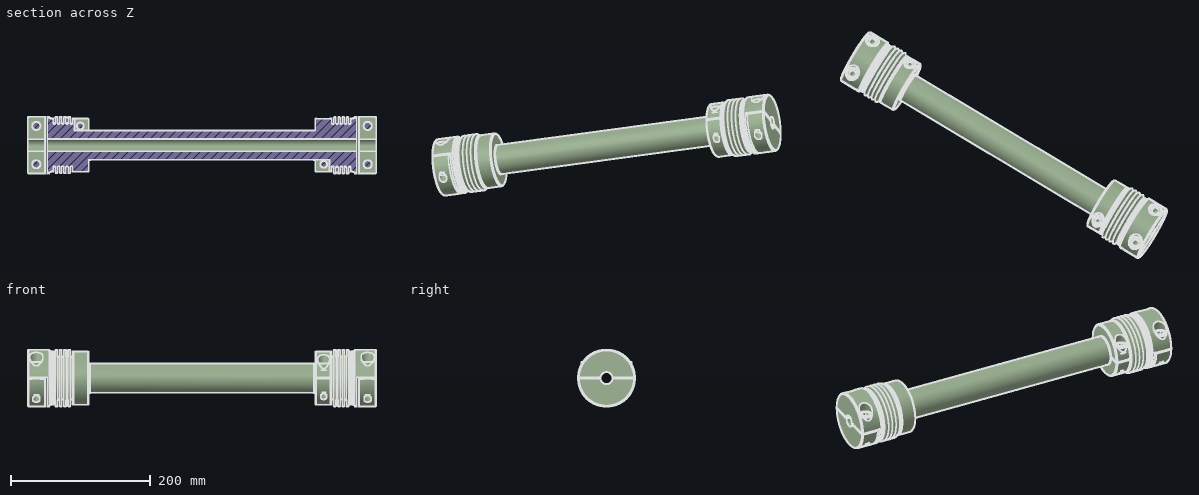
import cadquery as cq
import math


total_length = 500.0
end_x = -total_length / 2
bore_dia = 17.0

outer_hub_dia = 82.0
outer_hub_length = 31.0
outer_hub_chamfer = 1.5
shoulder_dia = 78.0
shoulder_length = 2.5

collar_dia = 77.0
collar_length = 3.75
collar_groove_width = 1.5
collar_groove_depth = 0.5
crest_dia = 82.0
valley_dia = 61.0
crest_count = 4
crest_width = 3.5
valley_width = 2.5

inner_hub_dia = 77.0
inner_hub_chamfer = 1.5
inner_hub_end = 88.0

tube_dia = 42.5
ring_dia = 43.0
ring_length = 1.5

slit_width = 2.0
relief_start = 25.0
relief_width = 3.0

screw_offset = 27.5
head_chamfer = 1.0
socket_depth = 6.0
socket_point_angle = 120.0
outer_screw = dict(
    station=12.5, top=23.5, tip=-23.5, head_dia=18.0, head_height=12.0, recess_dia=19.0,
    shank_dia=12.0, thread_hole_dia=10.5, socket_width=10.0,
)
inner_screw = dict(
    station=75.5, top=21.5, tip=-20.0, head_dia=16.0, head_height=10.0, recess_dia=17.0,
    shank_dia=10.0, thread_hole_dia=8.5, socket_width=8.0,
)

shoulder_end = outer_hub_length + shoulder_length
bellows_start = shoulder_end + collar_length
bellows_length = crest_count * (crest_width + valley_width) + valley_width
bellows_end = bellows_start + bellows_length
inner_hub_start = bellows_end + collar_length


def turned(start, length, diameter):
    """Solid cylinder along X beginning at a station of the left coupling."""
    return cq.Workplane("YZ", origin=(end_x + start, 0, 0)).circle(diameter / 2).extrude(length)


def upright(x, y, z, diameter, height):
    """Solid cylinder along +Z standing at a point."""
    return cq.Workplane("XY", origin=(x, y, z)).circle(diameter / 2).extrude(height)


def bellows():
    """Corrugated sleeve with rounded crests and valleys joined by flat flanks."""
    crest_round = crest_width / 2
    valley_round = valley_width / 2
    crest_flank = crest_dia / 2 - crest_round
    valley_flank = valley_dia / 2 + valley_round
    x = end_x + bellows_start
    profile = cq.Workplane("XY").moveTo(x, 0).lineTo(x, valley_flank)
    for _ in range(crest_count):
        profile = profile.threePointArc((x + valley_round, valley_dia / 2), (x + valley_width, valley_flank))
        x += valley_width
        profile = profile.lineTo(x, crest_flank)
        profile = profile.threePointArc((x + crest_round, crest_dia / 2), (x + crest_width, crest_flank))
        x += crest_width
        profile = profile.lineTo(x, valley_flank)
    profile = profile.threePointArc((x + valley_round, valley_dia / 2), (x + valley_width, valley_flank))
    profile = profile.lineTo(x + valley_width, 0).close()
    return profile.revolve(360, (0, 0, 0), (1, 0, 0))


def coupling_body():
    """Both hubs, the collars and the bellows of the left coupling, before clamping details."""
    outer_hub = turned(0, outer_hub_length, outer_hub_dia).faces("<X").chamfer(outer_hub_chamfer)
    inner_hub = turned(inner_hub_start, inner_hub_end - inner_hub_start, inner_hub_dia)
    inner_hub = inner_hub.faces(">X").chamfer(inner_hub_chamfer)
    body = outer_hub.union(turned(outer_hub_length, shoulder_length, shoulder_dia))
    body = body.union(turned(shoulder_end, collar_length, collar_dia)).union(bellows())
    body = body.union(turned(bellows_end, collar_length, collar_dia)).union(inner_hub)

    groove_floor_dia = collar_dia - 2 * collar_groove_depth
    groove_inset = (collar_length - collar_groove_width) / 2
    for start in (shoulder_end + groove_inset, bellows_end + groove_inset):
        groove = turned(start, collar_groove_width, outer_hub_dia)
        body = body.cut(groove.cut(turned(start, collar_groove_width, groove_floor_dia)))
    return body.union(turned(inner_hub_end, ring_length, ring_dia))


def cut_slits(body):
    """Outer hub: full-width slit and relief freeing its lower half. Inner hub: slit on the +Y side."""
    slit_length = relief_start + relief_width
    outer_slit = cq.Workplane("XY").box(slit_length, outer_hub_dia, slit_width, centered=(False, True, True))
    relief = cq.Workplane("XY").box(
        relief_width, outer_hub_dia, outer_hub_dia / 2 + slit_width / 2, centered=(False, True, False)
    )
    inner_slit = cq.Workplane("XY").box(
        inner_hub_end - inner_hub_start, inner_hub_dia / 2, slit_width, centered=(False, False, True)
    )
    body = body.cut(outer_slit.translate((end_x, 0, 0)))
    body = body.cut(relief.translate((end_x + relief_start, 0, -outer_hub_dia / 2)))
    return body.cut(inner_slit.translate((end_x + inner_hub_start, tube_dia / 2, 0)))


def screw_head(x, y, screw):
    """Chamfered cap head with a hexagon socket ending in a drill point."""
    head = upright(x, y, screw["top"] - screw["head_height"], screw["head_dia"], screw["head_height"])
    head = head.faces(">Z").chamfer(head_chamfer)
    socket_corners = screw["socket_width"] / math.cos(math.pi / 6)
    socket = cq.Workplane("XY", origin=(x, y, screw["top"])).polygon(6, socket_corners).extrude(-socket_depth)
    point_radius = screw["socket_width"] / 2
    point_depth = point_radius / math.tan(math.radians(socket_point_angle / 2))
    point = cq.Solid.makeCone(
        point_radius, 0, point_depth, cq.Vector(x, y, screw["top"] - socket_depth), cq.Vector(0, 0, -1)
    )
    return head.cut(socket).cut(cq.Workplane(point))


def add_screw(body, y, screw):
    """Recess, cap screw, shank bridging the slit and the open end of the threaded hole."""
    x = end_x + screw["station"]
    seat_z = screw["top"] - screw["head_height"]
    hub_radius = outer_hub_dia / 2
    recess = upright(x, y, seat_z, screw["recess_dia"], hub_radius)
    thread_hole = upright(x, y, -hub_radius, screw["thread_hole_dia"], hub_radius + screw["tip"])
    shank = upright(x, y, screw["tip"], screw["shank_dia"], seat_z - screw["tip"])
    return body.cut(recess).cut(thread_hole).union(shank).union(screw_head(x, y, screw))


def coupling():
    """Complete left coupling."""
    body = cut_slits(coupling_body())
    for y in (-screw_offset, screw_offset):
        body = add_screw(body, y, outer_screw)
    return add_screw(body, screw_offset, inner_screw)


left_coupling = coupling()
right_coupling = left_coupling.rotate((0, 0, 0), (0, 0, 1), 180)
tube = turned(inner_hub_end, total_length - 2 * inner_hub_end, tube_dia)
bore = turned(0, total_length, bore_dia)

result = left_coupling.union(tube).union(right_coupling).cut(bore)